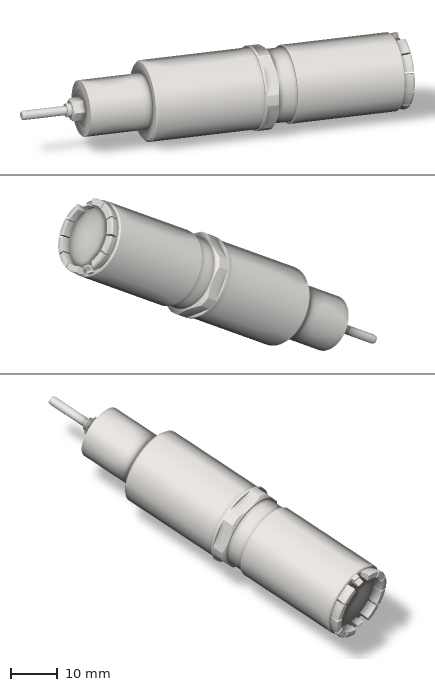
import cadquery as cq
import math

total_length = 86.2
front_end = -total_length / 2
rear_end = total_length / 2

crown_length = 2.2
rear_body_length = 24.4
neck_length = 4.1
nut_length = 3.0
flange_length = 0.5
main_body_length = 24.55
sleeve_length = 13.95
hex_length = 2.5
collar_length = 1.0

shoulder_y = rear_end - crown_length
neck_y = shoulder_y - rear_body_length
nut_y = neck_y - neck_length
flange_y = nut_y - nut_length
main_body_y = flange_y - flange_length
sleeve_y = main_body_y - main_body_length
hex_y = sleeve_y - sleeve_length
collar_y = hex_y - hex_length
pin_y = collar_y - collar_length

rear_body_radius = 8.5
neck_radius = 8.0
flange_radius = 9.2
main_body_radius = 8.8
sleeve_radius = 6.1
collar_radius = 1.5
pin_radius = 1.0

nut_across_flats = 17.0
nut_top_radius = nut_across_flats / 2
nut_chamfer_length = 0.5
hex_across_flats = 4.4
hex_face_radius = 2.1
hex_chamfer_length = 0.3

shoulder_chamfer = 0.25
main_body_chamfer = 0.4
pin_chamfer_length = 0.5
pin_chamfer_depth = 0.12

recess_radius = 4.1
recess_depth = 0.1

crown_inner_radius = 6.8
crown_base_radius = 7.95
crown_lip_radius = 8.3
crown_lip_length = 0.25
crown_tip_chamfer_length = 0.35
crown_tip_chamfer_depth = 0.15
slit_count = 12
slit_pitch = 360 / slit_count
slit_width = 0.4
gap_half_angle = 15.5

finger_width = 1.55
finger_setback = 0.3
finger_tip_top = 7.1
finger_ramp_top = 7.7
finger_base_top = 8.2
finger_base_length = 0.9


def revolve_profile(points):
    """Turn (radius, y) points about the Y axis."""
    return cq.Workplane("XY").polyline(points).close().revolve(360, (0, 0, 0), (0, 1, 0))


def cylinder(radius, start_y, end_y):
    """Cylinder on the Y axis between two positions."""
    return revolve_profile([(0, start_y), (radius, start_y), (radius, end_y), (0, end_y)])


def hexagon(across_flats, start_y, end_y):
    """Hexagonal prism on the Y axis with flats facing +Z and -Z."""
    across_corners = across_flats / math.cos(math.pi / 6)
    plane = cq.Workplane("XZ", origin=(0, end_y, 0))
    return plane.polygon(6, across_corners).extrude(end_y - start_y)


def make_rear_body():
    body = cylinder(rear_body_radius, neck_y, shoulder_y)
    return body.faces(">Y").chamfer(shoulder_chamfer)


def make_nut():
    envelope = revolve_profile([
        (0, flange_y),
        (flange_radius, flange_y),
        (flange_radius, nut_y - nut_chamfer_length),
        (nut_top_radius, nut_y),
        (0, nut_y),
    ])
    nut = hexagon(nut_across_flats, flange_y, nut_y).intersect(envelope)
    return nut.union(cylinder(flange_radius, main_body_y, flange_y))


def make_main_body():
    body = cylinder(main_body_radius, sleeve_y, main_body_y)
    return body.faces("<Y").chamfer(main_body_chamfer)


def make_sleeve():
    sleeve = cylinder(sleeve_radius, hex_y, sleeve_y)
    return sleeve.cut(cylinder(recess_radius, hex_y, hex_y + recess_depth))


def make_contact():
    """Hexagon, collar and pin at the front end."""
    corner_radius = hex_across_flats / 2 / math.cos(math.pi / 6)
    root_y = hex_y + recess_depth
    envelope = revolve_profile([
        (0, collar_y),
        (hex_face_radius, collar_y),
        (corner_radius, collar_y + hex_chamfer_length),
        (corner_radius, root_y),
        (0, root_y),
    ])
    head = hexagon(hex_across_flats, collar_y, root_y).intersect(envelope)
    pin = revolve_profile([
        (0, front_end),
        (pin_radius - pin_chamfer_depth, front_end),
        (pin_radius, front_end + pin_chamfer_length),
        (pin_radius, pin_y),
        (0, pin_y),
    ])
    return head.union(cylinder(collar_radius, pin_y, collar_y)).union(pin)


def make_crown():
    """Flared ring split into teeth, open at the top and the bottom."""
    lip_y = rear_end - crown_tip_chamfer_length
    crown = revolve_profile([
        (crown_inner_radius, shoulder_y),
        (crown_base_radius, shoulder_y),
        (crown_lip_radius, lip_y - crown_lip_length),
        (crown_lip_radius, lip_y),
        (crown_lip_radius - crown_tip_chamfer_depth, rear_end),
        (crown_inner_radius, rear_end),
    ])
    slit_reach = 2 * rear_body_radius
    slit = (
        cq.Workplane("XY")
        .box(slit_reach, crown_length, slit_width, centered=(False, False, True))
        .translate((0, shoulder_y, 0))
    )
    for index in range(slit_count):
        angle = slit_pitch * (index + 0.5)
        crown = crown.cut(slit.rotate((0, 0, 0), (0, 1, 0), angle))

    gap_half_width = slit_reach * math.tan(math.radians(gap_half_angle))
    gaps = (
        cq.Workplane("XZ", origin=(0, rear_end, 0))
        .polyline([(0, 0), (gap_half_width, slit_reach), (-gap_half_width, slit_reach)])
        .close()
        .extrude(crown_length)
    )
    gaps = gaps.union(gaps.mirror("XY"))
    return crown.cut(gaps)


def make_finger():
    """Key finger in the upper gap: a block at its base, then a ramp falling to the tip."""
    base_y = shoulder_y + finger_base_length
    tip_y = rear_end - finger_setback
    return (
        cq.Workplane("YZ", origin=(-finger_width / 2, 0, 0))
        .polyline([
            (shoulder_y, crown_inner_radius),
            (tip_y, crown_inner_radius),
            (tip_y, finger_tip_top),
            (base_y, finger_ramp_top),
            (base_y, finger_base_top),
            (shoulder_y, finger_base_top),
        ])
        .close()
        .extrude(finger_width)
    )


finger = make_finger()

result = (
    make_rear_body()
    .union(cylinder(neck_radius, nut_y, neck_y))
    .union(make_nut())
    .union(make_main_body())
    .union(make_sleeve())
    .union(make_contact())
    .union(make_crown())
    .union(finger)
    .union(finger.mirror("XY"))
)